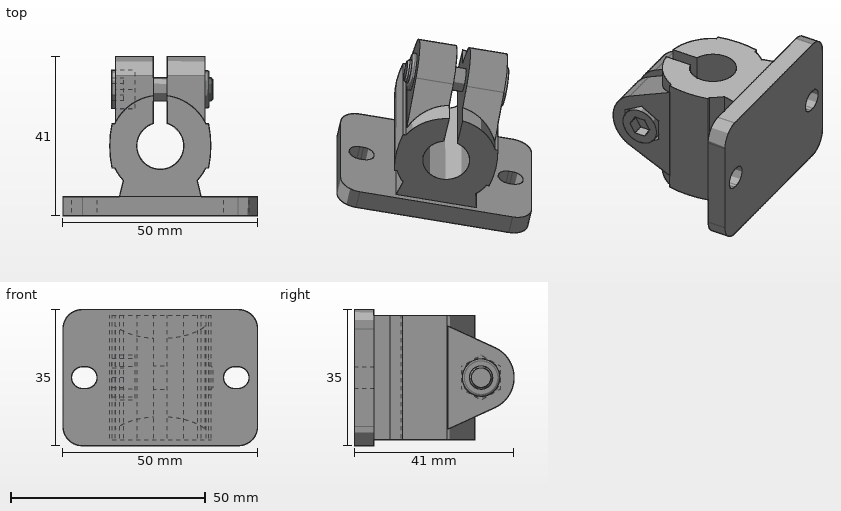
import cadquery as cq
import math

plate_width = 50.0
plate_height = 35.0
plate_thickness = 5.0
plate_corner_radius = 5.0
slot_spacing = 39.0
slot_length = 6.5
slot_width = 5.5

body_height = 32.0
bore_y = 18.0
bore_diameter = 12.0
ring_radius = 13.0
split_width = 3.5

band_half_length = 5.7
band_edge_x = 12.4

neck_base_half_width = 10.5
neck_top_half_width = 9.5

lug_half_width = 11.5
lug_radius = 8.5
lug_root_half_height = 13.2

bolt_y = 32.5
shank_diameter = 6.0
shank_protrusion = 2.0
shank_end_chamfer = 0.5
head_diameter = 9.9
head_protrusion = 1.0
head_pocket_across_flats = 10.0
head_pocket_depth = 5.0
socket_across_flats = 5.0
socket_depth = 3.0
nut_diameter = 9.6
nut_protrusion = 1.0
nut_end_radius = 0.5


def circle_offset(radius, offset):
    """Distance along the other axis to a circle at a given offset from its centre."""
    return math.sqrt(radius**2 - offset**2)


def across_corners(across_flats):
    return across_flats / math.cos(math.pi / 6)


def bolt_plane(x):
    """Plane across the bolt axis at x: local x is +Y, local y is +Z, normal is +X."""
    return cq.Workplane("YZ", origin=(x, bolt_y, 0))


def extrude_body(outline):
    return outline.extrude(body_height / 2, both=True)


def make_plate():
    plate = cq.Workplane("XZ").rect(plate_width, plate_height).extrude(-plate_thickness)
    plate = plate.edges("|Y").fillet(plate_corner_radius)
    slots = (
        cq.Workplane("XZ")
        .pushPoints([(-slot_spacing / 2, 0), (slot_spacing / 2, 0)])
        .slot2D(slot_length, slot_width)
        .extrude(-plate_thickness)
    )
    return plate.cut(slots)


def make_neck():
    top_y = bore_y - circle_offset(ring_radius, neck_top_half_width)
    return extrude_body(
        cq.Workplane("XY").polyline([
            (-neck_base_half_width, plate_thickness),
            (neck_base_half_width, plate_thickness),
            (neck_top_half_width, top_y),
            (-neck_top_half_width, top_y),
        ]).close()
    )


def make_bands():
    low_y = bore_y - band_half_length
    high_y = bore_y + band_half_length
    return extrude_body(
        cq.Workplane("XY")
        .moveTo(-band_edge_x, low_y)
        .lineTo(band_edge_x, low_y)
        .threePointArc((ring_radius, bore_y), (band_edge_x, high_y))
        .lineTo(-band_edge_x, high_y)
        .threePointArc((-ring_radius, bore_y), (-band_edge_x, low_y))
        .close()
    )


def make_lugs():
    root_y = bore_y + circle_offset(ring_radius, lug_half_width) - bolt_y
    root_distance = math.hypot(root_y, lug_root_half_height)
    root_angle = math.atan2(lug_root_half_height, root_y)
    tangent_angle = root_angle - math.acos(lug_radius / root_distance)
    tangent_y = lug_radius * math.cos(tangent_angle)
    tangent_z = lug_radius * math.sin(tangent_angle)
    return (
        bolt_plane(0)
        .moveTo(root_y, -lug_root_half_height)
        .lineTo(tangent_y, -tangent_z)
        .threePointArc((lug_radius, 0), (tangent_y, tangent_z))
        .lineTo(root_y, lug_root_half_height)
        .close()
        .extrude(lug_half_width, both=True)
    )


def cut_bore_and_split(body):
    bore = extrude_body(cq.Workplane("XY").center(0, bore_y).circle(bore_diameter / 2))
    split_end_y = bolt_y + lug_radius
    split_length = split_end_y - bore_y
    split = extrude_body(
        cq.Workplane("XY").center(0, bore_y + split_length / 2).rect(split_width, split_length)
    )
    return body.cut(bore).cut(split)


def cut_head_pocket(body):
    pocket = (
        bolt_plane(-lug_half_width)
        .transformed(rotate=(0, 0, 90))
        .polygon(6, across_corners(head_pocket_across_flats))
        .extrude(head_pocket_depth)
    )
    return body.cut(pocket)


def make_bolt():
    head_start_x = -lug_half_width - head_protrusion
    head_height = head_protrusion + head_pocket_depth
    head = bolt_plane(head_start_x).circle(head_diameter / 2).extrude(head_height)
    socket = (
        bolt_plane(head_start_x)
        .polygon(6, across_corners(socket_across_flats))
        .extrude(socket_depth)
    )
    shank_start_x = head_start_x + head_height
    shank_end_x = lug_half_width + shank_protrusion
    shank = (
        bolt_plane(shank_start_x)
        .circle(shank_diameter / 2)
        .extrude(shank_end_x - shank_start_x)
        .faces(">X")
        .chamfer(shank_end_chamfer)
    )
    return head.cut(socket).union(shank)


def make_nut_collar():
    return (
        bolt_plane(lug_half_width)
        .circle(nut_diameter / 2)
        .extrude(nut_protrusion)
        .faces(">X")
        .edges()
        .fillet(nut_end_radius)
    )


ring = extrude_body(cq.Workplane("XY").center(0, bore_y).circle(ring_radius))
clamp = ring.union(make_bands()).union(make_neck()).union(make_lugs())
clamp = cut_bore_and_split(clamp)
clamp = cut_head_pocket(clamp)
result = make_plate().union(clamp).union(make_bolt()).union(make_nut_collar())